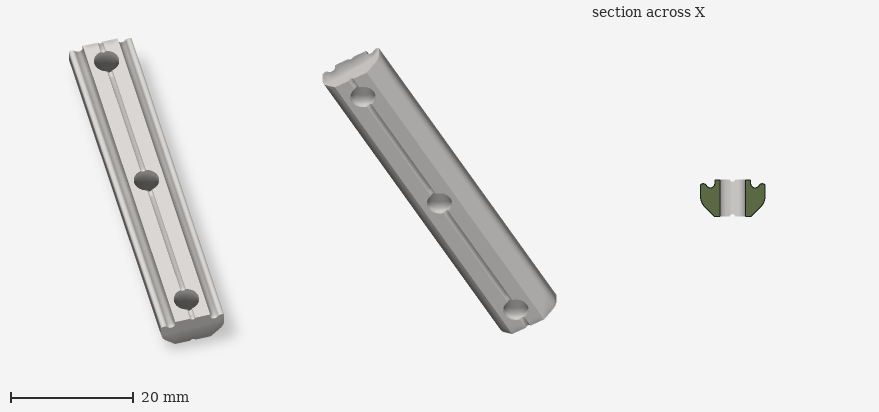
import cadquery as cq
import math

LENGTH = 58.0
WIDTH = 10.6
HEIGHT = 6.0

PAD_HALF_WIDTH = 2.95

GROOVE_RADIUS = 0.7

LIP_RADIUS = 0.6
LIP_TOP_Z = 5.4
LIP_CENTER_INSET = 0.5

BOTTOM_HALF_WIDTH = 3.0
FLANK_ANGLE = 45.0
FLANK_BLEND_RADIUS = 2.5

NOTCH_RADIUS = 0.45
NOTCH_DEPTH = 0.35

HOLE_DIAMETER = 4.13
HOLE_SPACING = 25.0
HOLE_COUNT = 3


def point_on_circle(center, radius, degrees):
    """Point (Y, Z) on a circle at an angle measured from +Y toward +Z."""
    angle = math.radians(degrees)
    return (center[0] + radius * math.cos(angle), center[1] + radius * math.sin(angle))


def make_half_bar():
    """Extrude the +Y half of the cross-section along the full length."""
    half_width = WIDTH / 2
    lip_center = (half_width - LIP_CENTER_INSET, LIP_TOP_Z - LIP_RADIUS)
    lip_end_z = lip_center[1] + math.sqrt(LIP_RADIUS**2 - LIP_CENTER_INSET**2)

    groove_center_y = PAD_HALF_WIDTH + GROOVE_RADIUS
    center_distance = GROOVE_RADIUS + LIP_RADIUS
    contact_angle = math.degrees(math.acos((lip_center[0] - groove_center_y) / center_distance))
    groove_center = point_on_circle(lip_center, center_distance, 180 - contact_angle)

    corner_z = (half_width - BOTTOM_HALF_WIDTH) * math.tan(math.radians(FLANK_ANGLE))
    tangent_length = FLANK_BLEND_RADIUS * math.tan(math.radians(90 - FLANK_ANGLE) / 2)
    blend_top_z = corner_z + tangent_length
    blend_center = (half_width - FLANK_BLEND_RADIUS, blend_top_z)
    blend_end_angle = FLANK_ANGLE - 90

    return (
        cq.Workplane("YZ")
        .moveTo(0, 0)
        .lineTo(BOTTOM_HALF_WIDTH, 0)
        .lineTo(*point_on_circle(blend_center, FLANK_BLEND_RADIUS, blend_end_angle))
        .threePointArc(
            point_on_circle(blend_center, FLANK_BLEND_RADIUS, blend_end_angle / 2),
            (half_width, blend_top_z),
        )
        .lineTo(half_width, lip_end_z)
        .threePointArc(
            point_on_circle(lip_center, LIP_RADIUS, 90),
            point_on_circle(lip_center, LIP_RADIUS, 180 - contact_angle),
        )
        .threePointArc(
            point_on_circle(groove_center, GROOVE_RADIUS, -90),
            (PAD_HALF_WIDTH, groove_center[1]),
        )
        .lineTo(PAD_HALF_WIDTH, HEIGHT)
        .lineTo(0, HEIGHT)
        .close()
        .extrude(LENGTH / 2, both=True)
    )


def make_notch_cutters():
    """Round rods that cut the centreline notches in the top and bottom."""
    overhang = NOTCH_RADIUS - NOTCH_DEPTH
    return (
        cq.Workplane("YZ")
        .pushPoints([(0, -overhang), (0, HEIGHT + overhang)])
        .circle(NOTCH_RADIUS)
        .extrude(LENGTH / 2, both=True)
    )


def make_hole_cutters():
    """Vertical cylinders for the evenly spaced through holes."""
    return (
        cq.Workplane("XY")
        .rarray(HOLE_SPACING, 1, HOLE_COUNT, 1)
        .circle(HOLE_DIAMETER / 2)
        .extrude(HEIGHT)
    )


half_bar = make_half_bar()
bar = half_bar.union(half_bar.mirror("XZ")).clean()
result = bar.cut(make_notch_cutters()).cut(make_hole_cutters())